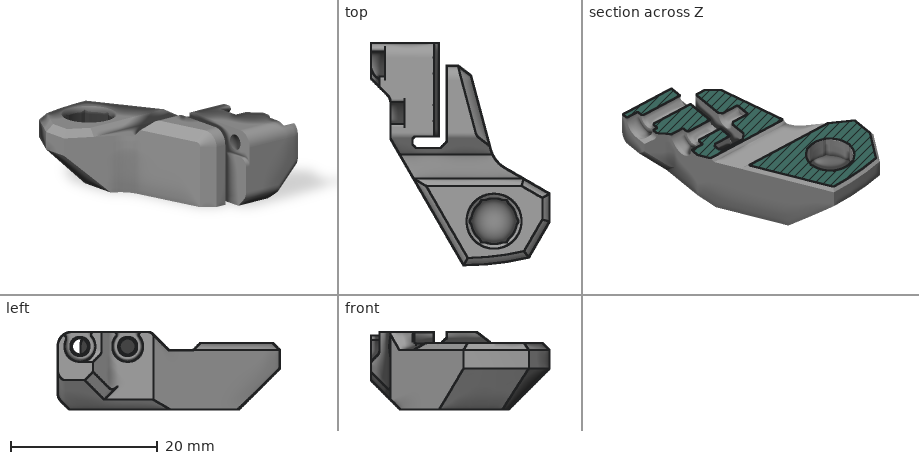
import cadquery as cq
import math

CLAMP_HEIGHT = 10.6
ARM_HEIGHT = 8.1
PAD_HEIGHT = 9.1
PAD_CHAMFER = PAD_HEIGHT - ARM_HEIGHT
FAR = 40.0
HALF_RIGHT = math.radians(45)
COS_45 = math.cos(HALF_RIGHT)

TIP_X, TIP_Y = -4.16, -6.02
END_RADIUS = 38.0
END_RIGHT_X = 4.74
RIGHT_X = 7.58
RIGHT_LOW_Y = -0.05
RIGHT_HIGH_Y = 3.75
WALL_ANGLE = math.radians(60)
SHOULDER_ANGLE = math.radians(30)
FINGER_ANGLE = math.radians(15)
SHOULDER_RADIUS = 4.0

JAW_LEFT_X = -14.13
LUG_LEFT_X = -16.79
LUG_LOW_Y = 19.46
LUG_FILLET = 1.6
JAW_BACK_Y = 24.3
JAW_RIGHT_X = -8.2
LIP_RIGHT_X = -7.53
LIP_HEIGHT = 7.0
LIP_ROUND = 1.05
SLOT_LEFT_X = -11.1
SLOT_LOW_Y = 10.0
SLOT_HIGH_Y = 11.54
SLOT_BEVEL_SMALL = 0.28
SLOT_BEVEL = 0.45
SLOT_BEVEL_LARGE = 0.82
FINGER_LEFT_X = -6.46
FINGER_BACK_Y = 21.2
FINGER_BACK_X = -3.5
FINGER_CHAMFER = 1.4
BACK_ROUND = 2.0
SLOPE_FOOT_Y = 9.12
SLOPE_ROUND = 1.0

END_BEVEL = 5.6
SIDE_BEVEL = 4.0
LUG_EDGE_BEVEL = 1.13
BACK_BEVEL = 1.6
BACK_BEVEL_ROUND = 1.5
BACK_CORNER_ROUND = 1.1

PAD_BACK_Y = 5.8

SCREW_Z = 8.6
BACK_SCREW_Y = 21.25
FRONT_SCREW_Y = 14.74
SCREW_DIAMETER = 2.2
SCREW_CHAMFER = 0.2
HEAD_RADIUS = 2.1
HEAD_DEPTH = 1.92
MOUTH_HALF_WIDTH = 1.5
MOUTH_ROUND = 0.4
BACK_MOUTH_ROUND = 0.33
FINGER_HOLE_CHAMFER = 0.4
FINGER_HOLE_DEPTH = 3.0
RELIEF_X = -15.62
RELIEF_ROUND = 1.0

SOCKET_SIDES = 6
SOCKET_DEPTH = 3.5
SOCKET_CORNER_RADIUS = 3.37
SOCKET_BORE_RADIUS = 3.12
SOCKET_MOUTH_RADIUS = 3.75


def beyond_plane(point, normal):
    """Block filling the side of a plane that its normal points to."""
    plane = cq.Plane(origin=point, normal=normal)
    return cq.Workplane(plane).rect(2 * FAR, 2 * FAR).extrude(FAR)


def end_arc_y(x):
    """Y of the curved end at a given X."""
    centre_y = TIP_Y + END_RADIUS
    return centre_y - math.sqrt(END_RADIUS**2 - (x - TIP_X) ** 2)


def tangent_length(radius, turn):
    """Distance from a corner to the tangent points of a round through the given turn."""
    return radius * math.tan(turn / 2)


def plan_outline():
    """Closed outline of the arm, the jaw and the finger, without the jaw's lip."""
    wall_top_y = TIP_Y + (TIP_X - JAW_LEFT_X) * math.tan(WALL_ANGLE)

    lug_corner_y = LUG_LOW_Y - (JAW_LEFT_X - LUG_LEFT_X)
    lug_tangent = tangent_length(LUG_FILLET, HALF_RIGHT)
    lug_diagonal = lug_tangent * COS_45

    slant = math.tan(FINGER_ANGLE)
    rise = math.tan(SHOULDER_ANGLE)
    corner_x = (
        FINGER_BACK_X + slant * (FINGER_BACK_Y - RIGHT_HIGH_Y - rise * RIGHT_X)
    ) / (1 - slant * rise)
    corner_y = RIGHT_HIGH_Y + rise * (RIGHT_X - corner_x)
    turn = math.pi / 2 - SHOULDER_ANGLE - FINGER_ANGLE
    tangent = tangent_length(SHOULDER_RADIUS, turn)
    finger_end = (corner_x - tangent * math.sin(FINGER_ANGLE), corner_y + tangent * math.cos(FINGER_ANGLE))
    shoulder_start = (
        corner_x + tangent * math.cos(SHOULDER_ANGLE),
        corner_y - tangent * math.sin(SHOULDER_ANGLE),
    )

    end_mid_x = (TIP_X + END_RIGHT_X) / 2
    return (
        cq.Workplane("XY")
        .moveTo(TIP_X, TIP_Y)
        .lineTo(JAW_LEFT_X, wall_top_y)
        .lineTo(JAW_LEFT_X, lug_corner_y - lug_tangent)
        .tangentArcPoint((JAW_LEFT_X - lug_diagonal, lug_corner_y + lug_diagonal), relative=False)
        .lineTo(LUG_LEFT_X, LUG_LOW_Y)
        .lineTo(LUG_LEFT_X, JAW_BACK_Y)
        .lineTo(JAW_RIGHT_X, JAW_BACK_Y)
        .lineTo(JAW_RIGHT_X, SLOT_HIGH_Y)
        .lineTo(SLOT_LEFT_X + SLOT_BEVEL_SMALL, SLOT_HIGH_Y)
        .lineTo(SLOT_LEFT_X, SLOT_HIGH_Y - SLOT_BEVEL_SMALL)
        .lineTo(SLOT_LEFT_X, SLOT_LOW_Y + SLOT_BEVEL)
        .lineTo(SLOT_LEFT_X + SLOT_BEVEL, SLOT_LOW_Y)
        .lineTo(FINGER_LEFT_X - SLOT_BEVEL_LARGE, SLOT_LOW_Y)
        .lineTo(FINGER_LEFT_X, SLOT_LOW_Y + SLOT_BEVEL_LARGE)
        .lineTo(FINGER_LEFT_X, FINGER_BACK_Y)
        .lineTo(FINGER_BACK_X, FINGER_BACK_Y)
        .lineTo(*finger_end)
        .tangentArcPoint(shoulder_start, relative=False)
        .lineTo(RIGHT_X, RIGHT_HIGH_Y)
        .lineTo(RIGHT_X, RIGHT_LOW_Y)
        .lineTo(END_RIGHT_X, end_arc_y(END_RIGHT_X))
        .threePointArc((end_mid_x, end_arc_y(end_mid_x)), (TIP_X, TIP_Y))
        .close()
    )


def top_edge_at(x, y):
    """Selector for the edge of the top face nearest to a point."""
    return cq.selectors.NearestToPointSelector((x, y, CLAMP_HEIGHT))


def clamp_body():
    """Full-height body with rounded backs and the beveled finger."""
    body = plan_outline().extrude(CLAMP_HEIGHT)
    body = body.edges(top_edge_at((LUG_LEFT_X + JAW_RIGHT_X) / 2, JAW_BACK_Y)).fillet(BACK_ROUND)
    body = body.edges(top_edge_at((FINGER_LEFT_X + FINGER_BACK_X) / 2, FINGER_BACK_Y)).fillet(BACK_ROUND)
    side_mid_y = (FINGER_BACK_Y + SLOPE_FOOT_Y) / 2
    side_mid_x = FINGER_BACK_X + (FINGER_BACK_Y - side_mid_y) * math.tan(FINGER_ANGLE)
    return body.edges(top_edge_at(side_mid_x, side_mid_y)).chamfer(FINGER_CHAMFER)


def above_arm():
    """Space above the arm, bounded by the rounded 45 degree slope up to the clamp."""
    slope_top_y = SLOPE_FOOT_Y + CLAMP_HEIGHT - ARM_HEIGHT
    tangent = tangent_length(SLOPE_ROUND, HALF_RIGHT)
    diagonal = tangent * COS_45
    return (
        cq.Workplane("YZ", origin=(-FAR, 0, 0))
        .moveTo(-FAR, ARM_HEIGHT)
        .lineTo(SLOPE_FOOT_Y, ARM_HEIGHT)
        .lineTo(slope_top_y - diagonal, CLAMP_HEIGHT - diagonal)
        .tangentArcPoint((slope_top_y + tangent, CLAMP_HEIGHT), relative=False)
        .lineTo(slope_top_y + tangent, FAR)
        .lineTo(-FAR, FAR)
        .close()
        .extrude(2 * FAR)
    )


def lip():
    """Low rib along the jaw's right face, rounded at both ends."""
    length = JAW_BACK_Y - SLOT_HIGH_Y
    width = LIP_RIGHT_X - JAW_RIGHT_X
    rib = cq.Workplane("XY").box(width, length, LIP_HEIGHT, centered=False)
    rib = rib.faces(">Z").edges("|X").fillet(LIP_ROUND)
    return rib.translate((JAW_RIGHT_X, SLOT_HIGH_Y, 0))


def pad():
    """Raised, beveled platform around the socket."""
    front = cq.Workplane("XY").box(2 * FAR, FAR, FAR, centered=(True, False, True))
    front = front.translate((0, PAD_BACK_Y - FAR, 0))
    platform = plan_outline().extrude(PAD_HEIGHT).intersect(front)
    return platform.faces(">Z").chamfer(PAD_CHAMFER)


def bevel_end(body):
    """Bevel the underside along the curved end and the two right-hand walls."""
    ring = (
        cq.Workplane("XZ", origin=(TIP_X, TIP_Y + END_RADIUS, 0))
        .moveTo(END_RADIUS - END_BEVEL, 0)
        .lineTo(END_RADIUS + END_BEVEL, 2 * END_BEVEL)
        .lineTo(END_RADIUS + END_BEVEL, 0)
        .close()
        .revolve(360, (0, 0, 0), (0, 1, 0))
    )
    body = body.cut(ring)
    corner = (RIGHT_X, RIGHT_LOW_Y, END_BEVEL)
    lower_right = (math.sin(WALL_ANGLE), -math.cos(WALL_ANGLE), -1)
    body = body.cut(beyond_plane(corner, lower_right))
    return body.cut(beyond_plane(corner, (1, 0, -1)))


def bevel_left(body):
    """Bevel the underside along the left of the jaw and the lug."""
    return body.cut(beyond_plane((LUG_LEFT_X, LUG_LOW_Y, SIDE_BEVEL), (-1, 0, -1)))


def bevel_lug_edge(body):
    """Bevel the edge between the lug's slanted wall and the left bevel."""
    cutter = beyond_plane((LUG_LEFT_X, LUG_LOW_Y, SIDE_BEVEL + LUG_EDGE_BEVEL), (-2, -1, -1))
    return body.cut(cutter.intersect(beyond_plane((JAW_LEFT_X, 0, 0), (-1, 0, 0))))


def round_back_corner(body):
    """Round the edge where the left bevel meets the back."""
    middle = (LUG_LEFT_X + SIDE_BEVEL / 2, JAW_BACK_Y, SIDE_BEVEL / 2)
    return body.edges(cq.selectors.NearestToPointSelector(middle)).fillet(BACK_CORNER_ROUND)


def bevel_back(body):
    """Bevel the underside along the back and round the bevel into the back."""
    tangent = tangent_length(BACK_BEVEL_ROUND, HALF_RIGHT)
    diagonal = tangent * COS_45
    cutter = (
        cq.Workplane("YZ", origin=(-FAR, 0, 0))
        .moveTo(JAW_BACK_Y - BACK_BEVEL, 0)
        .lineTo(JAW_BACK_Y - diagonal, BACK_BEVEL - diagonal)
        .tangentArcPoint((JAW_BACK_Y, BACK_BEVEL + tangent), relative=False)
        .lineTo(FAR, BACK_BEVEL + tangent)
        .lineTo(FAR, 0)
        .close()
        .extrude(2 * FAR)
    )
    return body.cut(cutter)


def along_x(x, y, radius, length, end_radius=None):
    """Cylinder or cone along +X at screw height, starting at x."""
    solid = cq.Workplane("YZ", origin=(x, y, SCREW_Z)).circle(radius)
    if end_radius is None:
        return solid.extrude(length)
    return solid.workplane(offset=length).circle(end_radius).loft()


def screw_seat(floor_x, y):
    """Head recess open to the left and, through a rounded mouth, to the top, with its screw hole."""
    depth = floor_x - LUG_LEFT_X
    hole_radius = SCREW_DIAMETER / 2
    mouth_top = CLAMP_HEIGHT - SCREW_Z
    half_width = MOUTH_HALF_WIDTH
    mouth = (
        cq.Workplane("YZ", origin=(LUG_LEFT_X, y, SCREW_Z))
        .moveTo(-half_width, 0)
        .lineTo(-half_width, mouth_top - MOUTH_ROUND)
        .tangentArcPoint((-half_width - MOUTH_ROUND, mouth_top), relative=False)
        .lineTo(half_width + MOUTH_ROUND, mouth_top)
        .radiusArc((half_width, mouth_top - MOUTH_ROUND), -MOUTH_ROUND)
        .lineTo(half_width, 0)
        .close()
        .extrude(depth)
    )
    seat = along_x(LUG_LEFT_X, y, HEAD_RADIUS, depth).union(mouth)
    seat = seat.union(along_x(floor_x, y, hole_radius, FINGER_LEFT_X - floor_x))
    return seat.union(along_x(floor_x, y, hole_radius + SCREW_CHAMFER, SCREW_CHAMFER, hole_radius))


def back_mouth():
    """Wider mouth of the back screw recess, blending tangentially into the rounded back."""
    offset = (BACK_ROUND - BACK_MOUTH_ROUND) * COS_45
    centre_y = JAW_BACK_Y - BACK_ROUND + offset
    centre_z = CLAMP_HEIGHT - BACK_ROUND + offset
    arc_middle_angle = (math.pi + HALF_RIGHT) / 2
    arc_middle = (
        centre_y + BACK_MOUTH_ROUND * math.cos(arc_middle_angle),
        centre_z + BACK_MOUTH_ROUND * math.sin(arc_middle_angle),
    )
    arc_end = (centre_y + BACK_MOUTH_ROUND * COS_45, centre_z + BACK_MOUTH_ROUND * COS_45)
    wall_y = centre_y - BACK_MOUTH_ROUND
    return (
        cq.Workplane("YZ", origin=(LUG_LEFT_X, 0, 0))
        .moveTo(BACK_SCREW_Y, SCREW_Z)
        .lineTo(wall_y, SCREW_Z)
        .lineTo(wall_y, centre_z)
        .threePointArc(arc_middle, arc_end)
        .lineTo(arc_end[0], CLAMP_HEIGHT)
        .lineTo(BACK_SCREW_Y, CLAMP_HEIGHT)
        .close()
        .extrude(HEAD_DEPTH)
    )


def finger_hole():
    """Blind, chamfered hole in the finger, in line with the front screw."""
    radius = SCREW_DIAMETER / 2
    hole = along_x(FINGER_LEFT_X, FRONT_SCREW_Y, radius, FINGER_HOLE_DEPTH)
    mouth_radius = radius + FINGER_HOLE_CHAMFER
    return hole.union(along_x(FINGER_LEFT_X, FRONT_SCREW_Y, mouth_radius, FINGER_HOLE_CHAMFER, radius))


def head_relief():
    """Relief from the back screw recess through the lug's slanted wall."""
    floor_z = SCREW_Z - HEAD_RADIUS
    corner_z = floor_z + RELIEF_X - LUG_LEFT_X
    tangent = tangent_length(RELIEF_ROUND, HALF_RIGHT)
    diagonal = tangent * COS_45
    return (
        cq.Workplane("XZ", origin=(0, BACK_SCREW_Y, 0))
        .moveTo(LUG_LEFT_X, floor_z)
        .lineTo(RELIEF_X - diagonal, corner_z - diagonal)
        .tangentArcPoint((RELIEF_X, corner_z + tangent), relative=False)
        .lineTo(RELIEF_X, CLAMP_HEIGHT)
        .lineTo(LUG_LEFT_X, CLAMP_HEIGHT)
        .close()
        .extrude(BACK_SCREW_Y - SLOT_HIGH_Y)
    )


def socket():
    """Hex socket merged with a round bore, countersunk at its mouth."""
    floor = cq.Workplane("XY", origin=(0, 0, PAD_HEIGHT - SOCKET_DEPTH))
    hexagon = floor.polygon(SOCKET_SIDES, 2 * SOCKET_CORNER_RADIUS).extrude(SOCKET_DEPTH)
    bore = floor.circle(SOCKET_BORE_RADIUS).extrude(SOCKET_DEPTH)
    sink_depth = SOCKET_MOUTH_RADIUS - SOCKET_BORE_RADIUS
    mouth = cq.Workplane("XY", origin=(0, 0, PAD_HEIGHT)).circle(SOCKET_MOUTH_RADIUS)
    mouth = mouth.workplane(offset=-sink_depth).circle(SOCKET_BORE_RADIUS).loft()
    return hexagon.union(bore).union(mouth)


part = clamp_body().cut(above_arm()).union(lip()).union(pad())
part = bevel_end(part)
part = bevel_left(part)
part = bevel_lug_edge(part)
part = round_back_corner(part)
part = bevel_back(part)
part = part.cut(screw_seat(LUG_LEFT_X + HEAD_DEPTH, BACK_SCREW_Y))
part = part.cut(screw_seat(JAW_LEFT_X + HEAD_DEPTH, FRONT_SCREW_Y))
part = part.cut(back_mouth())
part = part.cut(head_relief())
part = part.cut(finger_hole())
result = part.cut(socket())